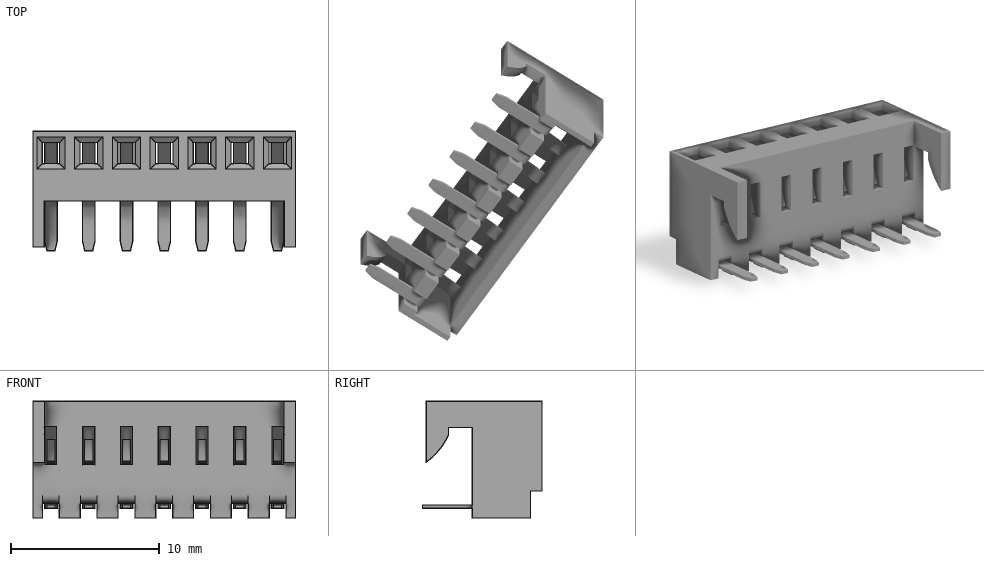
import cadquery as cq
import math


LENGTH = 17.68
HEIGHT = 7.87
BODY_DEPTH = 4.7
END_WALL = 0.35
BACK_WALL = 0.76
FRONT_WALL = 1.06
STEP_HEIGHT = 1.8
CHAMBER_CEILING = 7.27

ARM_WIDTH = 0.78
ARM_END = 7.8
ARM_UNDERSIDE = 6.08
HOOK_DEPTH = 1.52
HOOK_CURVE_TOP = 5.6
HOOK_TIP = 3.75
HOOK_BULGE = 0.16

CONTACTS = 7
END_MARGIN = 1.22
PITCH = (LENGTH - 2 * END_MARGIN) / (CONTACTS - 1)
CONTACT_XS = [END_MARGIN + i * PITCH for i in range(CONTACTS)]

ENTRY_WIDTH = 1.15
ENTRY_DEPTH = 1.41
FUNNEL_INSET = 0.37
WINDOW_WIDTH = 0.78
WINDOW_BOTTOM = 3.59
WINDOW_TOP = 6.15
NOTCH_WIDTH = 1.11
NOTCH_HEIGHT = 1.47
LIP_RADIUS = 0.5

TERMINAL_WIDTH = 0.87
TERMINAL_THICKNESS = 0.23
PIN_BOTTOM = 0.65
PIN_END = 8.05
TIP_WIDTH = 0.55
TIP_LENGTH = 0.67
BEND_RADIUS = 0.27
LEAF_TOP = 6.28
LEAF_ANGLE = 12.0
TAIL_LENGTH = 0.1
BARB_WIDTH = 0.55
BARB_TOP = 5.27
BARB_TIP = 3.82
BARB_REACH = 0.57
BARB_END_DROP = 0.18

CHAMBER_FRONT = FRONT_WALL - BODY_DEPTH


def box(x_min, x_max, y_min, y_max, z_min, z_max):
    size = (x_max - x_min, y_max - y_min, z_max - z_min)
    return cq.Workplane("XY").box(*size, centered=False).translate((x_min, y_min, z_min))


def centred_box(x, width, y_min, y_max, z_min, z_max):
    return box(x - width / 2, x + width / 2, y_min, y_max, z_min, z_max)


def side_sketch(x):
    """Workplane at the given x whose local axes are Y and Z."""
    return cq.Workplane("YZ", origin=(x, 0, 0))


def housing_block():
    upper = box(0, LENGTH, -BODY_DEPTH, 0, STEP_HEIGHT, HEIGHT)
    lower = box(0, LENGTH, -BODY_DEPTH, -BACK_WALL, 0, STEP_HEIGHT)
    return upper.union(lower)


def chamber():
    """One common chamber, open below; the back wall ends at the step."""
    return box(END_WALL, LENGTH - END_WALL, CHAMBER_FRONT, -BACK_WALL, 0, CHAMBER_CEILING)


def arm(x):
    hook_back = HOOK_DEPTH - ARM_END
    start = (hook_back, HOOK_CURVE_TOP)
    tip = (-ARM_END, HOOK_TIP)
    return (
        side_sketch(x)
        .moveTo(-BODY_DEPTH, HEIGHT)
        .lineTo(-BODY_DEPTH, ARM_UNDERSIDE)
        .lineTo(hook_back, ARM_UNDERSIDE)
        .lineTo(*start)
        .sagittaArc(tip, HOOK_BULGE)
        .lineTo(-ARM_END, HEIGHT)
        .close()
        .extrude(ARM_WIDTH)
    )


def entry(x):
    """Funnel with 45 degree sides leading into a straight opening."""
    centre_y = -BACK_WALL - ENTRY_DEPTH / 2
    funnel = (
        cq.Workplane("XY", origin=(x, centre_y, HEIGHT))
        .rect(ENTRY_WIDTH + 2 * FUNNEL_INSET, ENTRY_DEPTH + 2 * FUNNEL_INSET)
        .workplane(offset=-FUNNEL_INSET)
        .rect(ENTRY_WIDTH, ENTRY_DEPTH)
        .loft(ruled=True)
    )
    opening = centred_box(
        x, ENTRY_WIDTH, -BACK_WALL - ENTRY_DEPTH, -BACK_WALL, CHAMBER_CEILING, HEIGHT - FUNNEL_INSET
    )
    return funnel.union(opening)


def window(x):
    return centred_box(x, WINDOW_WIDTH, -BODY_DEPTH, CHAMBER_FRONT, WINDOW_BOTTOM, WINDOW_TOP)


def notch(x):
    """Opening for the pin, whose roof curves down from the front face."""
    return (
        side_sketch(x - NOTCH_WIDTH / 2)
        .moveTo(-BODY_DEPTH, 0)
        .lineTo(-BODY_DEPTH, NOTCH_HEIGHT)
        .radiusArc((LIP_RADIUS - BODY_DEPTH, NOTCH_HEIGHT - LIP_RADIUS), -LIP_RADIUS)
        .lineTo(CHAMBER_FRONT, NOTCH_HEIGHT - LIP_RADIUS)
        .lineTo(CHAMBER_FRONT, 0)
        .close()
        .extrude(NOTCH_WIDTH)
    )


def pin(x):
    half_width = TERMINAL_WIDTH / 2
    half_tip = TIP_WIDTH / 2
    taper_start = TIP_LENGTH - PIN_END
    back = CHAMBER_FRONT - BEND_RADIUS
    return (
        cq.Workplane("XY", origin=(x, 0, PIN_BOTTOM))
        .polyline([
            (-half_width, back),
            (-half_width, taper_start),
            (-half_tip, -PIN_END),
            (half_tip, -PIN_END),
            (half_width, taper_start),
            (half_width, back),
        ])
        .close()
        .extrude(TERMINAL_THICKNESS)
    )


def bent_strip(x):
    """Bend, upright against the front wall, and contact leaf falling to the back."""
    pin_top = PIN_BOTTOM + TERMINAL_THICKNESS
    outer_radius = BEND_RADIUS + TERMINAL_THICKNESS
    bend_start = CHAMBER_FRONT - BEND_RADIUS
    upright_back = CHAMBER_FRONT + TERMINAL_THICKNESS
    tail_start = -BACK_WALL - TAIL_LENGTH
    slope = math.tan(math.radians(LEAF_ANGLE))
    leaf_drop = TERMINAL_THICKNESS / math.cos(math.radians(LEAF_ANGLE))
    tail_top = LEAF_TOP - slope * (tail_start - CHAMBER_FRONT)
    return (
        side_sketch(x - TERMINAL_WIDTH / 2)
        .moveTo(bend_start, PIN_BOTTOM)
        .lineTo(bend_start, pin_top)
        .radiusArc((CHAMBER_FRONT, pin_top + BEND_RADIUS), -BEND_RADIUS)
        .lineTo(CHAMBER_FRONT, LEAF_TOP)
        .lineTo(tail_start, tail_top)
        .lineTo(-BACK_WALL, tail_top)
        .lineTo(-BACK_WALL, tail_top - leaf_drop)
        .lineTo(tail_start, tail_top - leaf_drop)
        .lineTo(upright_back, LEAF_TOP - slope * TERMINAL_THICKNESS - leaf_drop)
        .lineTo(upright_back, PIN_BOTTOM + outer_radius)
        .radiusArc((bend_start, PIN_BOTTOM), outer_radius)
        .close()
        .extrude(TERMINAL_WIDTH)
    )


def barb(x):
    """Locking tongue leaning out of the upright into the window."""
    tip_y = CHAMBER_FRONT - BARB_REACH
    return (
        side_sketch(x - BARB_WIDTH / 2)
        .polyline([
            (CHAMBER_FRONT, BARB_TOP),
            (tip_y, BARB_TIP),
            (CHAMBER_FRONT, BARB_TIP - BARB_END_DROP),
        ])
        .close()
        .extrude(BARB_WIDTH)
    )


housing = housing_block().cut(chamber())
for arm_x in (0, LENGTH - ARM_WIDTH):
    housing = housing.union(arm(arm_x))
for contact_x in CONTACT_XS:
    for opening in (entry, window, notch):
        housing = housing.cut(opening(contact_x))

result = housing
for contact_x in CONTACT_XS:
    terminal = bent_strip(contact_x).union(pin(contact_x)).union(barb(contact_x))
    result = result.union(terminal)